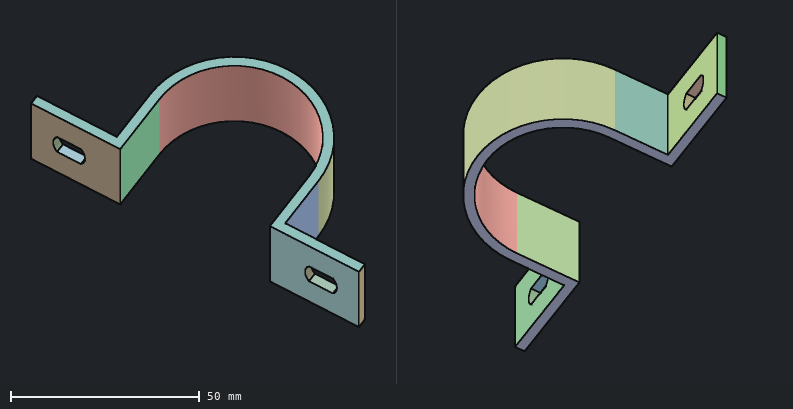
import cadquery as cq

total_width = 103.0
depth = 45.9
strap_width = 25.0
thickness = 3.0

outer_radius = 26.5
inner_radius = outer_radius - thickness
arch_center_y = depth - outer_radius

slot_offset = 39.6
slot_length = 10.0
slot_height = 6.6


def arch_prism(radius):
    """Solid with straight legs from the base plane and a half-round top."""
    return (
        cq.Workplane("XY")
        .moveTo(-radius, 0)
        .lineTo(-radius, arch_center_y)
        .threePointArc((0, arch_center_y + radius), (radius, arch_center_y))
        .lineTo(radius, 0)
        .close()
        .extrude(strap_width)
    )


def slot_cutter(x):
    """Round bar through the foot, trimmed to the slot height."""
    bar = cq.Workplane("XZ").circle(slot_length / 2).extrude(thickness, both=True)
    flats = cq.Workplane("XY").box(slot_length, 2 * thickness, slot_height)
    return bar.intersect(flats).translate((x, 0, strap_width / 2))


feet = cq.Workplane("XY").box(total_width, thickness, strap_width, centered=(True, False, False))
result = feet.union(arch_prism(outer_radius)).cut(arch_prism(inner_radius))

for side in (-1, 1):
    result = result.cut(slot_cutter(side * slot_offset))